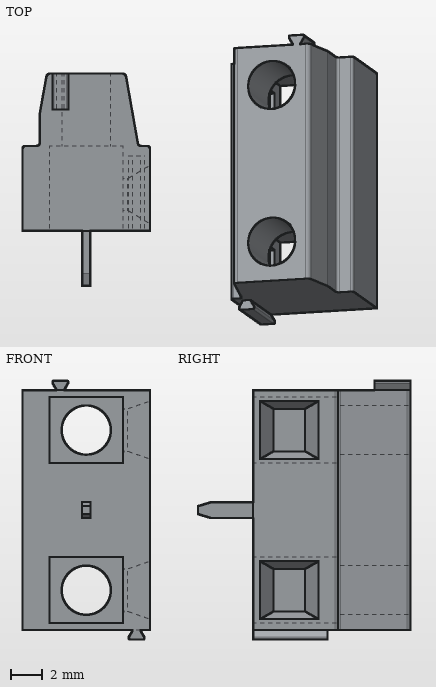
import cadquery as cq
import math

total_height = 16.44
body_width = 8.1
body_depth = 10.0
body_height = 15.24
half_width = body_width / 2
half_height = body_height / 2

shoulder_y = 5.4
left_wall_x = -2.96
left_slope_y = 7.43
rear_half_width = 2.5
right_slope_angle = 10.0
right_slope_x = rear_half_width + (body_depth - shoulder_y) * math.tan(math.radians(right_slope_angle))
rear_corner_radius = 0.3
shoulder_radius = 0.2

chamber_pitch = 10.16
chamber_width = 4.67
chamber_height = 4.2
chamber_depth = shoulder_y
screw_hole_diameter = 3.1

entry_start_y = 1.3
entry_length = 2.0
entry_height = 2.7
entry_throat = 0.3
entry_flare_length = 0.85
entry_flare_height = 0.5

pin_width = 0.51
pin_height = 1.0
pin_length = 3.5
pin_tip_length = 0.8
pin_tip_height = 0.51

rib_height = (total_height - body_height) / 2
rib_width = 1.18
rib_neck_width = 0.5
rib_edge_radius = 0.12
top_rib_x = -1.65
top_rib_length = 2.3
bottom_rib_x = 3.19
bottom_rib_length = 4.73


def make_body():
    outline = [
        (-half_width, 0),
        (half_width, 0),
        (half_width, shoulder_y),
        (right_slope_x, shoulder_y),
        (rear_half_width, body_depth),
        (-rear_half_width, body_depth),
        (left_wall_x, left_slope_y),
        (left_wall_x, shoulder_y),
        (-half_width, shoulder_y),
    ]
    body = cq.Workplane("XY").polyline(outline).close().extrude(half_height, both=True)
    body = body.faces(">Y").edges("|Z").fillet(rear_corner_radius)
    shoulder_corners = [(x, shoulder_y, 0) for x in (-half_width, left_wall_x, right_slope_x, half_width)]
    for corner in shoulder_corners:
        body = body.edges("|Z").edges(cq.NearestToPointSelector(corner)).fillet(shoulder_radius)
    return body


def make_chamber(center_z):
    """Chamber, screw hole and wire entry to cut around the given height."""
    chamber = cq.Workplane("XY").box(
        chamber_width, chamber_depth, chamber_height, centered=(True, False, True)
    )
    screw_hole = cq.Workplane("XZ").circle(screw_hole_diameter / 2).extrude(-body_depth)
    entry_y = entry_start_y + entry_length / 2
    flare_start_x = chamber_width / 2 + entry_throat
    throat = (
        cq.Workplane("YZ", origin=(0, entry_y, 0))
        .rect(entry_length, entry_height)
        .extrude(flare_start_x)
    )
    flare = (
        cq.Workplane("YZ", origin=(flare_start_x, entry_y, 0))
        .rect(entry_length, entry_height)
        .workplane(offset=half_width - flare_start_x)
        .rect(entry_length + 2 * entry_flare_length, entry_height + 2 * entry_flare_height)
        .loft(ruled=True)
    )
    return chamber.union(screw_hole).union(throat).union(flare).translate((0, 0, center_z))


def make_pin():
    tip_y = -pin_length
    taper_y = tip_y + pin_tip_length
    outline = [
        (0, -pin_height / 2),
        (taper_y, -pin_height / 2),
        (tip_y, -pin_tip_height / 2),
        (tip_y, pin_tip_height / 2),
        (taper_y, pin_height / 2),
        (0, pin_height / 2),
    ]
    return cq.Workplane("YZ").polyline(outline).close().extrude(pin_width / 2, both=True)


def make_rib(center_x, start_y, length, side):
    """Dovetail rib along Y; side is +1 above the housing and -1 below it."""
    root_z = side * half_height
    edge_z = side * (half_height + rib_height)
    outline = [
        (center_x - rib_neck_width / 2, root_z),
        (center_x + rib_neck_width / 2, root_z),
        (center_x + rib_width / 2, edge_z),
        (center_x - rib_width / 2, edge_z),
    ]
    rib = cq.Workplane("XZ", origin=(0, start_y, 0)).polyline(outline).close().extrude(-length)
    outer_face = ">Z" if side > 0 else "<Z"
    return rib.faces(outer_face).edges("|Y").fillet(rib_edge_radius)


result = make_body()
for chamber_z in (-chamber_pitch / 2, chamber_pitch / 2):
    result = result.cut(make_chamber(chamber_z))
result = result.union(make_pin())
result = result.union(make_rib(top_rib_x, body_depth - top_rib_length, top_rib_length, 1))
result = result.union(make_rib(bottom_rib_x, 0, bottom_rib_length, -1))